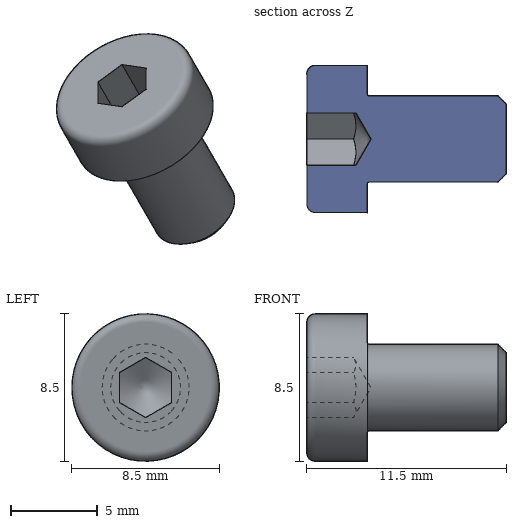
import cadquery as cq
import math

head_diameter = 8.5
head_height = 3.5
head_edge_radius = 0.5

shank_diameter = 5.0
shank_length = 8.0
tip_chamfer = 0.49
neck_fillet_radius = 0.1

socket_across_flats = 3.0
socket_depth = 2.7
socket_cone_angle = 120.0

head_face_x = -head_height
socket_corner_radius = socket_across_flats / math.sqrt(3)


def make_head():
    head = cq.Workplane("YZ", origin=(head_face_x, 0, 0)).circle(head_diameter / 2).extrude(head_height)
    return head.faces("<X").edges().fillet(head_edge_radius)


def make_shank():
    shank = cq.Workplane("YZ").circle(shank_diameter / 2).extrude(shank_length)
    return shank.faces(">X").edges().chamfer(tip_chamfer)


def make_neck_fillet():
    """Concave ring that blends the shank into the underside of the head."""
    shank_radius = shank_diameter / 2
    outer_radius = shank_radius + neck_fillet_radius
    arc_offset = neck_fillet_radius * (1 - math.sqrt(0.5))
    return (
        cq.Workplane("XY")
        .lineTo(0, outer_radius)
        .threePointArc((arc_offset, shank_radius + arc_offset), (neck_fillet_radius, shank_radius))
        .lineTo(neck_fillet_radius, 0)
        .close()
        .revolve(360, (0, 0, 0), (1, 0, 0))
    )


def make_socket():
    """Hexagonal recess with corners toward +Z and -Z and a conical floor."""
    cone_depth = socket_corner_radius / math.tan(math.radians(socket_cone_angle / 2))
    full_depth = socket_depth + cone_depth
    hexagon = (
        cq.Workplane("YZ", origin=(head_face_x, 0, 0))
        .polygon(6, 2 * socket_corner_radius)
        .extrude(full_depth)
        .rotate((0, 0, 0), (1, 0, 0), 90)
    )
    pointed_bore = (
        cq.Workplane("XY", origin=(head_face_x, 0, 0))
        .lineTo(0, socket_corner_radius)
        .lineTo(socket_depth, socket_corner_radius)
        .lineTo(full_depth, 0)
        .close()
        .revolve(360, (0, 0, 0), (1, 0, 0))
    )
    return hexagon.intersect(pointed_bore)


result = make_head().union(make_shank()).union(make_neck_fillet()).cut(make_socket())